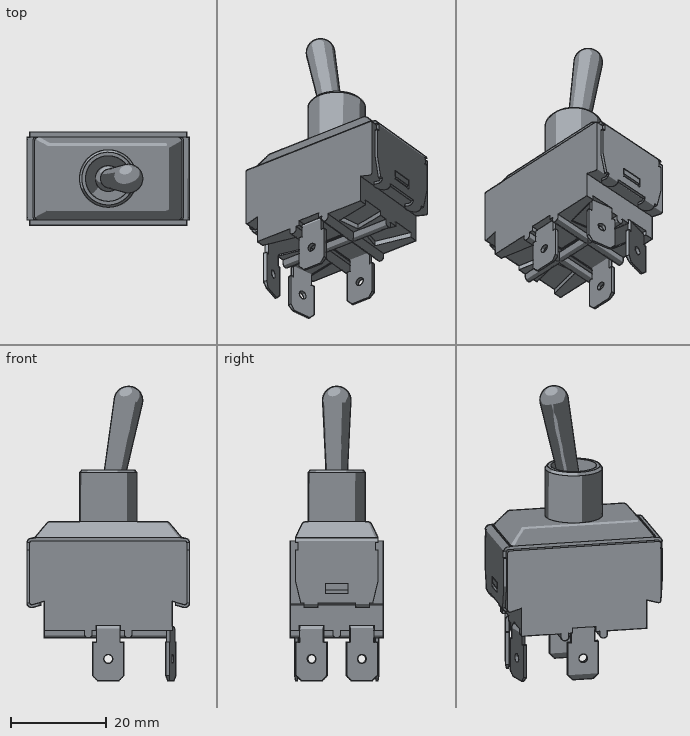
import math
import cadquery as cq


housing_x = 32.8
housing_y = 19.5
lower_x = 26.8
shoulder_outer_z = -13.45
shoulder_inner_z = -12.6
housing_bottom_z = -18.7
housing_corner_radius = 0.45

rib_bottom_z = -20.2
rib_width = 1.6
rib_corner_radius = 0.75
cross_rib_x = 4.15

sheet = 0.6
frame_y = 17.3
frame_neck_y = 16.2
frame_neck_top_z = -0.3
frame_neck_bottom_z = -1.85
frame_taper_z = -8.2
frame_taper_radius = 1.5
frame_end_y = 15.0
frame_end_z = -12.95
tab_width = 2.9
tab_y = 5.4
tab_tip_x = 14.0
window_width = 4.7
window_top_z = -8.85
window_bottom_z = -10.95

catch_bottom_z = -10.2
catch_height = 0.5

flange_x = 31.3
flange_top_z = 0.7
flange_corner_radius = 0.5
cover_base_x = 30.7
cover_base_y = frame_y
cover_top_x = 25.1
cover_top_y = 14.1
cover_top_z = 4.05
cover_edge_radius = 1.0

bushing_d = 12.0
bushing_top_z = 14.85
bushing_chamfer_height = 0.6
bushing_chamfer_width = 0.5
funnel_top_d = 9.5
pivot_ball_d = 5.4
pivot_z = 6.8
lever_root_d = 4.0
lever_tip_d = 6.0
lever_tilt = 10.6
lever_tip_z = 29.3

terminal_thickness = 0.8
terminal_bend_radius = 1.1
terminal_neck_width = 5.0
terminal_blade_width = 6.5
terminal_tip_width = 4.4
terminal_tip_thickness = 0.4
terminal_shoulder_z = -21.1
terminal_taper_z = -28.1
terminal_tip_z = -29.2
terminal_hole_d = 1.8
terminal_hole_z = -24.6
side_terminal_y = 8.8
end_terminal_x = 13.45
end_terminal_y = 5.3
end_terminal_tilt = 12.0

slot_width = 5.1
slot_top_z = -17.6
slot_depth = 7.7
slot_overrun = 3.0


def box_between(x_min, x_max, y_min, y_max, z_min, z_max):
    size = (x_max - x_min, y_max - y_min, z_max - z_min)
    return cq.Workplane("XY").box(*size, centered=False).translate((x_min, y_min, z_min))


def upper_block(offset, width):
    """Upper housing outline, grown by offset and extruded symmetrically along Y."""
    half_x = housing_x / 2
    inner_x = lower_x / 2
    outline = (
        cq.Workplane("XZ")
        .polyline([
            (-half_x, 0), (half_x, 0), (half_x, shoulder_outer_z), (inner_x, shoulder_inner_z),
            (-inner_x, shoulder_inner_z), (-half_x, shoulder_outer_z),
        ])
        .close()
    )
    if offset > 0:
        outline = outline.offset2D(offset, "intersection")
    block = outline.extrude(width / 2, both=True)
    return block.edges("|Y and (<X or >X)").fillet(housing_corner_radius + offset)


def rounded_rib(length):
    """Rib along X with a rounded bottom, rising slightly into the housing."""
    height = slot_top_z - rib_bottom_z
    rib = cq.Workplane("XY").box(length, rib_width, height, centered=(True, True, False))
    return rib.edges("|X and <Z").fillet(rib_corner_radius).translate((0, 0, rib_bottom_z))


def terminal_places():
    """Position and outward direction of each terminal slot: (x, y, angle, fitted)."""
    tilt = end_terminal_tilt
    return [
        (0, -side_terminal_y, -90, True),
        (0, side_terminal_y, 90, True),
        (end_terminal_x, -end_terminal_y, -tilt, True),
        (end_terminal_x, end_terminal_y, tilt, True),
        (-end_terminal_x, -end_terminal_y, 180 + tilt, False),
        (-end_terminal_x, end_terminal_y, 180 - tilt, False),
    ]


def place(shape, x, y, angle):
    return shape.rotate((0, 0, 0), (0, 0, 1), angle).translate((x, y, 0))


def make_slot():
    half_width = slot_width / 2
    return box_between(-slot_depth, slot_overrun, -half_width, half_width, housing_bottom_z, slot_top_z)


def make_terminal():
    """Bent terminal: the leg runs in along -X, the outer blade face is at X = 0."""
    inner_radius = terminal_bend_radius - terminal_thickness
    taper_inset = (terminal_thickness - terminal_tip_thickness) / 2
    bend_z = slot_top_z - terminal_bend_radius
    side = (
        cq.Workplane("XZ")
        .moveTo(-slot_depth, slot_top_z)
        .lineTo(-terminal_bend_radius, slot_top_z)
        .radiusArc((0, bend_z), terminal_bend_radius)
        .lineTo(0, terminal_taper_z)
        .lineTo(-taper_inset, terminal_tip_z)
        .lineTo(taper_inset - terminal_thickness, terminal_tip_z)
        .lineTo(-terminal_thickness, terminal_taper_z)
        .lineTo(-terminal_thickness, bend_z)
        .radiusArc((-terminal_bend_radius, bend_z + inner_radius), -inner_radius)
        .lineTo(-slot_depth, bend_z + inner_radius)
        .close()
        .extrude(terminal_blade_width / 2, both=True)
    )
    neck = terminal_neck_width / 2
    blade = terminal_blade_width / 2
    tip = terminal_tip_width / 2
    face = (
        cq.Workplane("YZ")
        .polyline([
            (-neck, slot_top_z), (neck, slot_top_z), (neck, terminal_shoulder_z),
            (blade, terminal_shoulder_z), (blade, terminal_taper_z), (tip, terminal_tip_z),
            (-tip, terminal_tip_z), (-blade, terminal_taper_z), (-blade, terminal_shoulder_z),
            (-neck, terminal_shoulder_z),
        ])
        .close()
        .extrude(slot_depth, both=True)
    )
    hole = (
        cq.Workplane("YZ")
        .center(0, terminal_hole_z)
        .circle(terminal_hole_d / 2)
        .extrude(terminal_bend_radius, both=True)
    )
    return side.intersect(face).cut(hole)


def make_housing():
    half_x = lower_x / 2
    half_y = housing_y / 2
    housing = upper_block(0, housing_y)
    housing = housing.union(
        box_between(-half_x, half_x, -half_y, half_y, housing_bottom_z, shoulder_inner_z)
    )
    for x, y, angle, _ in terminal_places():
        housing = housing.cut(place(make_slot(), x, y, angle))
    housing = housing.union(rounded_rib(lower_x))
    for x in (-cross_rib_x, cross_rib_x):
        housing = housing.union(place(rounded_rib(housing_y), x, 0, 90))
    catch_x = housing_x / 2 + catch_height
    catch_y = window_width / 2
    catches = box_between(-catch_x, catch_x, -catch_y, catch_y, catch_bottom_z, window_top_z)
    return housing.union(catches)


def make_frame():
    """Sheet strap across the top and down both ends, with round-ended tabs under the shoulders."""
    outer_x = housing_x / 2 + sheet
    layer = upper_block(sheet, housing_y).cut(upper_block(0, housing_y))

    half = frame_y / 2
    neck = frame_neck_y / 2
    end = frame_end_y / 2
    right_edge = [
        (half, sheet), (half, frame_neck_top_z), (neck, frame_neck_top_z),
        (neck, frame_neck_bottom_z), (half, frame_neck_bottom_z), (half, frame_taper_z),
        (end, frame_end_z),
    ]
    left_edge = [(-y, z) for y, z in reversed(right_edge)]
    blank = cq.Workplane("YZ").polyline(right_edge + left_edge).close().extrude(outer_x, both=True)
    taper_band = cq.selectors.BoxSelector(
        (-outer_x, -frame_y, frame_taper_z - sheet), (outer_x, frame_y, frame_taper_z + sheet)
    )
    blank = blank.edges(taper_band).fillet(frame_taper_radius)
    window = box_between(
        -outer_x, outer_x, -window_width / 2, window_width / 2, window_bottom_z, window_top_z
    )
    flat_x = housing_x / 2 - housing_corner_radius
    below_bend = box_between(-flat_x, flat_x, -half, half, shoulder_outer_z, window_bottom_z)
    frame = layer.intersect(blank.cut(window).cut(below_bend))

    tab_radius = tab_width / 2
    tab_centre_x = tab_tip_x + tab_radius
    tab_zone_bottom_z = shoulder_outer_z - 2 * sheet
    for side in (-1, 1):
        for y in (-tab_y, tab_y):
            tab_zone = (
                cq.Workplane("XY", origin=(0, y, tab_zone_bottom_z))
                .moveTo(side * outer_x, tab_radius)
                .lineTo(side * tab_centre_x, tab_radius)
                .threePointArc((side * tab_tip_x, 0), (side * tab_centre_x, -tab_radius))
                .lineTo(side * outer_x, -tab_radius)
                .close()
                .extrude(shoulder_inner_z - tab_zone_bottom_z)
            )
            frame = frame.union(layer.intersect(tab_zone))
    return frame


def make_cover():
    cover = (
        cq.Workplane("XY")
        .workplane(offset=flange_top_z)
        .rect(cover_base_x, cover_base_y)
        .workplane(offset=cover_top_z - flange_top_z)
        .rect(cover_top_x, cover_top_y)
        .loft(ruled=True)
    )
    cover = cover.edges("not <Z").fillet(cover_edge_radius)
    flange = cq.Workplane("XY").rect(flange_x, cover_base_y).extrude(flange_top_z)
    flange = flange.edges("|Z").fillet(flange_corner_radius)
    return cover.union(flange)


def make_bushing():
    """Bushing with a funnel that narrows to the equator of the pivot ball."""
    outer = bushing_d / 2
    return (
        cq.Workplane("XZ")
        .polyline([
            (0, 0), (outer, 0), (outer, bushing_top_z - bushing_chamfer_height),
            (outer - bushing_chamfer_width, bushing_top_z), (funnel_top_d / 2, bushing_top_z),
            (pivot_ball_d / 2, pivot_z), (0, pivot_z),
        ])
        .close()
        .revolve(360, (0, 0, 0), (0, 1, 0))
    )


def make_lever():
    """Tapered lever with a ball at each end, tilted toward +X about the pivot."""
    ball = pivot_ball_d / 2
    root = lever_root_d / 2
    tip = lever_tip_d / 2
    root_height = math.sqrt(ball**2 - root**2)
    tip_height = (lever_tip_z - pivot_z) / math.cos(math.radians(lever_tilt))
    lever = (
        cq.Workplane("XZ")
        .moveTo(0, -ball)
        .threePointArc((ball, 0), (root, root_height))
        .lineTo(tip, tip_height)
        .radiusArc((0, tip_height + tip), -tip)
        .close()
        .revolve(360, (0, 0, 0), (0, 1, 0))
    )
    return lever.rotate((0, 0, 0), (0, 1, 0), lever_tilt).translate((0, 0, pivot_z))


result = make_housing().union(make_frame()).union(make_cover()).union(make_bushing()).union(make_lever())
for place_x, place_y, place_angle, fitted in terminal_places():
    if fitted:
        result = result.union(place(make_terminal(), place_x, place_y, place_angle))